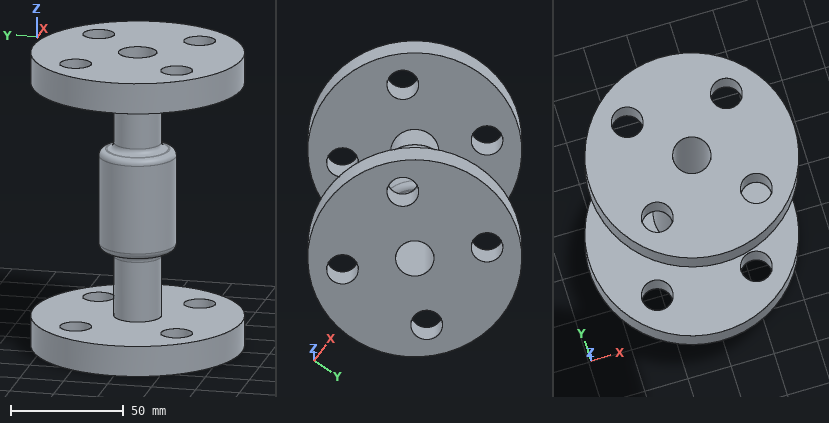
import cadquery as cq

total_length = 136.0
flange_diameter = 95.0
flange_thickness = 14.0

pipe_diameter = 21.4
bore_diameter = 17.0

body_diameter = 34.5
body_length = 46.6
edge_radius = 3.0

bolt_hole_count = 4
bolt_hole_diameter = 14.0
bolt_circle_diameter = 65.0
first_bolt_angle = 45.0


def centred_cylinder(diameter, length):
    """Cylinder along Z, centred on the origin."""
    return cq.Workplane("XY").cylinder(length, diameter / 2)


def make_flange(bottom_z):
    """Round flange plate standing on the given height, drilled on its bolt circle."""
    plate = centred_cylinder(flange_diameter, flange_thickness)
    plate = plate.translate((0, 0, bottom_z + flange_thickness / 2))
    return (
        plate.faces(">Z")
        .workplane()
        .polarArray(bolt_circle_diameter / 2, first_bolt_angle, 360, bolt_hole_count)
        .hole(bolt_hole_diameter)
    )


def make_stem():
    """Pipe with the central body, rounded at its rims and where it meets the pipe."""
    pipe = centred_cylinder(pipe_diameter, total_length)
    stem = pipe.union(centred_cylinder(body_diameter, body_length))
    shoulder_circles = stem.edges("%CIRCLE").edges("not(<Z or >Z)")
    return shoulder_circles.fillet(edge_radius)


lower_flange = make_flange(-total_length / 2)
upper_flange = make_flange(total_length / 2 - flange_thickness)
solid_part = make_stem().union(lower_flange).union(upper_flange)

result = solid_part.cut(centred_cylinder(bore_diameter, total_length))